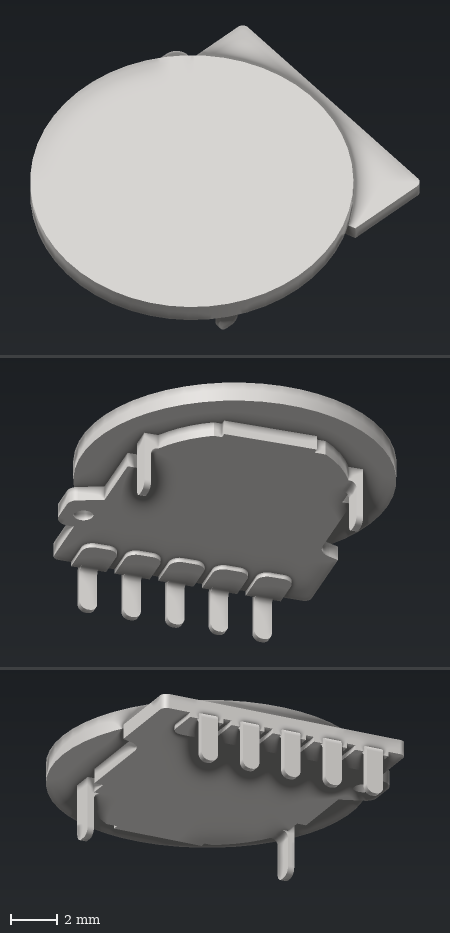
import cadquery as cq
import math

disc_diameter = 14.0
disc_thickness = 0.9
plate_thickness = 0.67
overall_depth = 15.25
overall_height = 3.8
plate_bottom = -plate_thickness
terminal_tip = disc_thickness - overall_height
leg_tip = -2.71

terminal_count = 5
terminal_pitch = 2.0
terminal_thickness = 0.3
pin_width = 0.8
pin_tip_radius = 0.35
pad_width = 1.6
pad_length = 1.89
pad_thickness = 0.21
pad_corner_radius = 0.5
bend_radius = 0.25

rear_y = overall_depth - disc_diameter / 2 - terminal_thickness
rear_left_x = -5.67
rear_right_x = 6.1
rear_corner_radius = 0.3
body_center_x = -0.05
side_half_width = 5.12
relief_rear_y = -0.8
front_radius = 5.17
front_shoulder_y = -4.53
front_y = -4.82
front_half_width = 2.12
right_arc_start_x = 2.62
right_arc_end_x = 4.29

ear_left_x = -6.59
ear_top_y = 4.97
ear_top_radius = 0.65
ear_bottom_radius = 0.5
slant_angle = math.radians(20)
left_slant_end_y = 2.33
right_slant_start_y = 4.07
notch_radius = 0.84
hole_diameter = 0.85
hole_x = -5.6
hole_y = 3.9

leg_outer_half_width = 5.0
leg_thickness = 0.3
leg_width = 1.0
leg_front_y = -2.7
leg_tip_radius = 0.38
leg_root_radius = 0.3


def make_disc():
    return cq.Workplane("XY").circle(disc_diameter / 2).extrude(disc_thickness)


def left_arc_x(y):
    """X of the plate's left front arc, which is centred on the disc axis."""
    return -math.sqrt(front_radius**2 - y**2)


def make_plate_blank():
    """Flat plate with its full outline, before the legs are added."""
    left_side_x = body_center_x - side_half_width
    right_side_x = body_center_x + side_half_width
    left_leg_x = body_center_x - leg_outer_half_width
    right_leg_x = body_center_x + leg_outer_half_width
    ear_slant_y = left_slant_end_y + (left_side_x - ear_left_x) * math.tan(slant_angle)
    left_relief_x = left_leg_x + leg_thickness
    right_relief_x = right_leg_x - leg_thickness
    leg_rear_y = leg_front_y + leg_width
    left_arc_start_x = left_arc_x(leg_front_y)
    left_arc_end_x = left_arc_x(front_shoulder_y)
    right_slant_end_y = right_slant_start_y - (rear_right_x - right_side_x) * math.tan(slant_angle)

    plate = (
        cq.Workplane("XY")
        .workplane(offset=plate_bottom)
        .moveTo(rear_left_x, rear_y)
        .lineTo(rear_left_x, ear_top_y)
        .lineTo(ear_left_x, ear_top_y)
        .lineTo(ear_left_x, ear_slant_y)
        .lineTo(left_side_x, left_slant_end_y)
        .lineTo(left_side_x, relief_rear_y)
        .lineTo(left_relief_x, relief_rear_y)
        .lineTo(left_relief_x, leg_rear_y)
        .lineTo(left_leg_x, leg_rear_y)
        .lineTo(left_leg_x, leg_front_y)
        .lineTo(left_arc_start_x, leg_front_y)
        .radiusArc((left_arc_end_x, front_shoulder_y), -front_radius)
        .lineTo(-front_half_width, front_shoulder_y)
        .lineTo(-front_half_width, front_y)
        .lineTo(front_half_width, front_y)
        .lineTo(front_half_width, front_shoulder_y)
        .lineTo(right_arc_start_x, front_shoulder_y)
        .radiusArc((right_arc_end_x, leg_front_y), -front_radius)
        .lineTo(right_leg_x, leg_front_y)
        .lineTo(right_leg_x, leg_rear_y)
        .lineTo(right_relief_x, leg_rear_y)
        .lineTo(right_relief_x, relief_rear_y)
        .lineTo(right_side_x, relief_rear_y)
        .lineTo(right_side_x, right_slant_end_y)
        .lineTo(rear_right_x, right_slant_start_y)
        .lineTo(rear_right_x, rear_y)
        .close()
        .extrude(plate_thickness)
    )

    def corner(x, y):
        """Selects the upright edge of the plate at X, Y."""
        return cq.selectors.NearestToPointSelector((x, y, plate_bottom / 2))

    plate = plate.edges(corner(rear_left_x, rear_y)).fillet(rear_corner_radius)
    plate = plate.edges(corner(rear_right_x, rear_y)).fillet(rear_corner_radius)
    plate = plate.edges(corner(ear_left_x, ear_top_y)).fillet(ear_top_radius)
    plate = plate.edges(corner(ear_left_x, ear_slant_y)).fillet(ear_bottom_radius)
    plate = plate.edges(corner(right_side_x, right_slant_end_y)).fillet(notch_radius)
    return plate


def make_leg(side):
    """Leg on the left (side = -1) or right (side = 1), with a rounded root and tip."""
    outer_x = body_center_x + side * leg_outer_half_width
    inner_x = outer_x - side * leg_thickness
    root_x = inner_x - side * leg_root_radius
    leg = (
        cq.Workplane("XZ", origin=(0, leg_front_y, 0))
        .moveTo(outer_x, plate_bottom)
        .lineTo(outer_x, leg_tip)
        .lineTo(inner_x, leg_tip)
        .lineTo(inner_x, plate_bottom - leg_root_radius)
        .radiusArc((root_x, plate_bottom), -side * leg_root_radius)
        .close()
        .extrude(-leg_width)
    )
    return leg.faces("<Z").edges("|X").fillet(leg_tip_radius)


def make_base():
    hole = (
        cq.Workplane("XY", origin=(hole_x, hole_y, plate_bottom))
        .circle(hole_diameter / 2)
        .extrude(plate_thickness)
    )
    return make_plate_blank().cut(hole).union(make_leg(-1)).union(make_leg(1))


def make_terminal(center_x):
    """One terminal: pad, rounded bend and pin with a round tip."""
    pad_bottom = plate_bottom - pad_thickness
    pad = (
        cq.Workplane("XY", origin=(center_x, rear_y - pad_length / 2, pad_bottom))
        .rect(pad_width, pad_length)
        .extrude(pad_thickness)
        .faces("<Y")
        .edges("|Z")
        .fillet(pad_corner_radius)
    )
    pin = (
        cq.Workplane("YZ", origin=(center_x - pin_width / 2, 0, 0))
        .moveTo(rear_y - bend_radius, plate_bottom)
        .lineTo(rear_y + terminal_thickness - bend_radius, plate_bottom)
        .radiusArc((rear_y + terminal_thickness, plate_bottom - bend_radius), bend_radius)
        .lineTo(rear_y + terminal_thickness, terminal_tip)
        .lineTo(rear_y, terminal_tip)
        .lineTo(rear_y, pad_bottom - bend_radius)
        .radiusArc((rear_y - bend_radius, pad_bottom), -bend_radius)
        .close()
        .extrude(pin_width)
        .faces("<Z")
        .edges("|Y")
        .fillet(pin_tip_radius)
    )
    return pad.union(pin)


disc = make_disc()
base = make_base()
terminals = []
for index in range(terminal_count):
    terminal_x = (index - (terminal_count - 1) / 2) * terminal_pitch
    terminals.append(make_terminal(terminal_x).val())

result = cq.Compound.makeCompound([disc.val(), base.val(), *terminals])